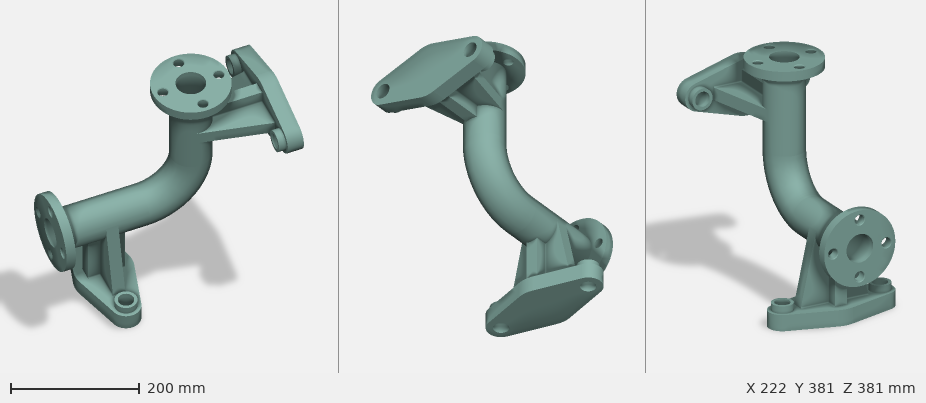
import cadquery as cq
import math

overall_size = 381
pipe_diameter = 68.0
bore_diameter = 47.5
bend_radius = 84.2
leg_length = 237.8

flange_diameter = 127.0
flange_thickness = 16.0
bolt_circle_diameter = 95.0
bolt_count = 4
bolt_hole_diameter = 16.5
bolt_chamfer = 1.0

foot_distance = overall_size - leg_length
bracket_position = 147.5
foot_thickness = 27.0
foot_length = 222.0
foot_end_radius = 24.0
foot_middle_radius = 48.0
boss_diameter = 36.0
boss_height = 12.2
boss_hole_diameter = 25.5

rib_thickness = 21.0
wide_rib_base = 120.5
narrow_rib_width = 62.5
rib_fillet = 2.3

pipe_radius = pipe_diameter / 2
foot_top = foot_thickness - foot_distance
hole_offset = foot_length / 2 - foot_end_radius
hole_points = [(-hole_offset, 0), (hole_offset, 0)]


def sweep_round(diameter):
    """Round bar along the centreline of both legs and the bend."""
    middle = bend_radius * (1 - math.sqrt(0.5))
    path = (
        cq.Workplane("YZ")
        .moveTo(-leg_length, 0)
        .lineTo(-bend_radius, 0)
        .threePointArc((-middle, middle), (0, bend_radius))
        .lineTo(0, leg_length)
    )
    return cq.Workplane("XZ", origin=(0, -leg_length, 0)).circle(diameter / 2).sweep(path)


def make_flange():
    """Flange on the -Y leg with its chamfered bolt holes."""
    flange = (
        cq.Workplane("XZ", origin=(0, flange_thickness - leg_length, 0))
        .circle(flange_diameter / 2)
        .extrude(flange_thickness)
    )
    return (
        flange.faces("<Y").workplane(origin=(0, -leg_length, 0))
        .polarArray(bolt_circle_diameter / 2, 0, 360, bolt_count)
        .cskHole(bolt_hole_diameter, bolt_hole_diameter + 2 * bolt_chamfer, 90)
    )


def make_foot():
    """Foot plate: a middle arc joined by tangent lines to two smaller end arcs."""
    slope_sin = (foot_middle_radius - foot_end_radius) / hole_offset
    slope_cos = math.sqrt(1 - slope_sin ** 2)
    middle_x = foot_middle_radius * slope_sin
    middle_y = foot_middle_radius * slope_cos
    end_x = hole_offset + foot_end_radius * slope_sin
    end_y = foot_end_radius * slope_cos
    plate = (
        cq.Workplane("XY", origin=(0, 0, -foot_distance))
        .moveTo(-middle_x, middle_y)
        .threePointArc((0, foot_middle_radius), (middle_x, middle_y))
        .lineTo(end_x, end_y)
        .threePointArc((foot_length / 2, 0), (end_x, -end_y))
        .lineTo(middle_x, -middle_y)
        .threePointArc((0, -foot_middle_radius), (-middle_x, -middle_y))
        .lineTo(-end_x, -end_y)
        .threePointArc((-foot_length / 2, 0), (-end_x, end_y))
        .close()
        .extrude(foot_thickness)
    )
    bosses = (
        cq.Workplane("XY", origin=(0, 0, foot_top))
        .pushPoints(hole_points)
        .circle(boss_diameter / 2)
        .extrude(boss_height)
    )
    holes = (
        cq.Workplane("XY", origin=(0, 0, -foot_distance))
        .pushPoints(hole_points)
        .circle(boss_hole_diameter / 2)
        .extrude(foot_thickness + boss_height)
    )
    return plate.union(bosses).cut(holes)


def make_wide_rib():
    """Tapered rib across the pipe, its sloping sides tangent to the pipe."""
    base_x = wide_rib_base / 2
    base_angle = math.atan2(foot_top, base_x)
    tangent_angle = base_angle + math.acos(pipe_radius / math.hypot(base_x, foot_top))
    tangent_x = pipe_radius * math.cos(tangent_angle)
    tangent_z = pipe_radius * math.sin(tangent_angle)
    return (
        cq.Workplane("XZ")
        .polyline([
            (-base_x, foot_top),
            (base_x, foot_top),
            (tangent_x, tangent_z),
            (-tangent_x, tangent_z),
        ])
        .close()
        .extrude(rib_thickness / 2, both=True)
    )


def is_inner_corner(point):
    """True for the middle of an edge that runs along an inner corner of the ribs."""
    half = rib_thickness / 2
    tolerance = 0.05
    on_wide_rib = abs(abs(point.y) - half) < tolerance and abs(point.x) > half - tolerance
    on_narrow_rib = abs(abs(point.x) - half) < tolerance and abs(point.y) > half - tolerance
    on_foot = abs(point.z - foot_top) < tolerance
    if on_foot:
        return on_wide_rib or on_narrow_rib
    return on_wide_rib and on_narrow_rib


def make_bracket():
    """Foot and crossed ribs, centred below the pipe axis and reaching up to it."""
    narrow_rib = (
        cq.Workplane("XY", origin=(0, 0, foot_top))
        .rect(rib_thickness, narrow_rib_width)
        .extrude(-foot_top)
    )
    ribs = make_wide_rib().union(narrow_rib)
    bracket = make_foot().union(ribs)
    inner_corners = [
        edge for edge in bracket.edges().vals()
        if is_inner_corner(edge.Center())
    ]
    return bracket.newObject(inner_corners).fillet(rib_fillet)


bracket = make_bracket().translate((0, -bracket_position, 0))
leg_parts = make_flange().union(bracket)
other_leg_parts = leg_parts.rotate((0, 0, 0), (0, 1, -1), 180)

result = (
    sweep_round(pipe_diameter)
    .union(leg_parts)
    .union(other_leg_parts)
    .cut(sweep_round(bore_diameter))
)